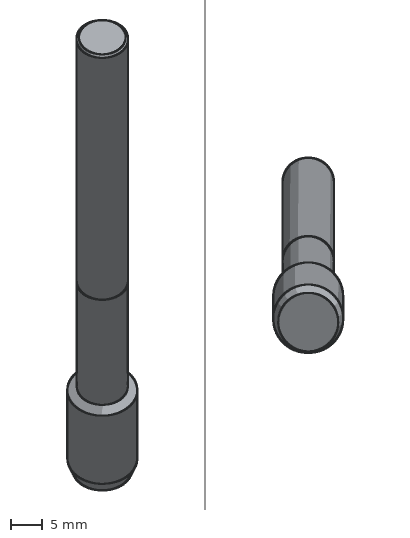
import cadquery as cq

total_length = 100.0
shank_diameter = 8.2
neck_diameter = 8.1
neck_top = 43.5
shank_chamfer = 0.4

head_diameter = 11.1
tip_diameter = 9.5
tip_height = 2.4
barrel_top = 18.2
shoulder_height = 0.9
head_top = barrel_top + shoulder_height


def make_head():
    """Revolve the tapered tip, the barrel and the conical shoulder."""
    neck_radius = neck_diameter / 2
    head_radius = head_diameter / 2
    profile = (
        cq.Workplane("XZ")
        .moveTo(0, 0)
        .lineTo(tip_diameter / 2, 0)
        .lineTo(head_radius, tip_height)
        .lineTo(head_radius, barrel_top)
        .lineTo(neck_radius, head_top)
        .lineTo(0, head_top)
        .close()
    )
    return profile.revolve(360, (0, 0, 0), (0, 1, 0))


def make_bar():
    """Round neck standing on the head, carrying the shank with its chamfered top."""
    neck = (
        cq.Workplane("XY")
        .workplane(offset=head_top)
        .circle(neck_diameter / 2)
        .extrude(neck_top - head_top)
    )
    shank = (
        cq.Workplane("XY")
        .workplane(offset=neck_top)
        .circle(shank_diameter / 2)
        .extrude(total_length - neck_top)
        .faces(">Z")
        .chamfer(shank_chamfer)
    )
    return neck.union(shank)


head = make_head()
bar = make_bar()

result = cq.Compound.makeCompound([head.val(), bar.solids().val()])